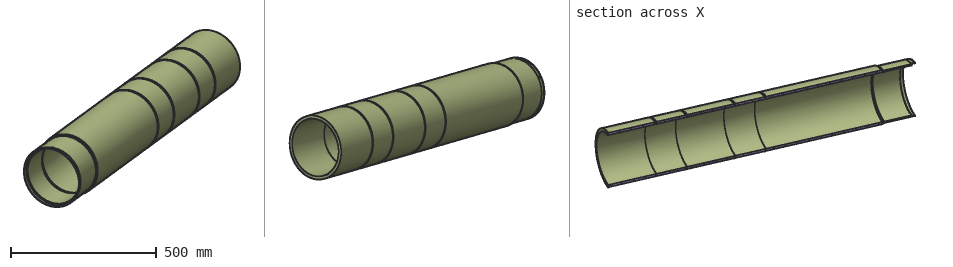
import cadquery as cq
total_length = 1146.0
outer_radius = 225.0 / 2
bore_radius = 101.0
rear_end = total_length / 2
front_end = -total_length / 2

long_tube = 180.0
short_tube = 115.0
main_tube = 435.0
tube_lengths = [long_tube, short_tube, long_tube, short_tube, main_tube]

chamfer_length = 5.0
chamfer_depth = 1.7

spigot_radius = 109.0
spigot_rear = rear_end - sum(tube_lengths)
spigot_chamfer = 6.0
counterbore_radius = 107.0
counterbore_depth = 14.0

hole_radius = 4.0
hole_setback = 7.0
hole_angles = [30, 90, 150, 270]


def revolve_about_y(profile):
    """Turn a closed (radius, y) outline around the pipe axis."""
    return cq.Workplane("XY").polyline(profile).close().revolve(360, (0, 0, 0), (0, 1, 0))


def make_tube(front, rear):
    """Plain tube with a chamfered front outer edge."""
    return revolve_about_y([
        (bore_radius, front),
        (outer_radius - chamfer_depth, front),
        (outer_radius, front + chamfer_length),
        (outer_radius, rear),
        (bore_radius, rear),
    ])


def make_lip_hole(angle):
    """Radial cutter that starts on the axis and leaves through one side."""
    cutter = cq.Workplane("XY").circle(hole_radius).extrude(outer_radius)
    cutter = cutter.translate((0, front_end + hole_setback, 0))
    return cutter.rotate((0, 0, 0), (0, 1, 0), 90 - angle)


def make_spigot():
    """Narrower front piece, counterbored in front and chamfered inside at the rear."""
    counterbore_floor = front_end + counterbore_depth
    body = revolve_about_y([
        (spigot_radius, front_end),
        (spigot_radius, spigot_rear),
        (bore_radius + spigot_chamfer, spigot_rear),
        (bore_radius, spigot_rear - spigot_chamfer),
        (bore_radius, counterbore_floor),
        (counterbore_radius, counterbore_floor),
        (counterbore_radius, front_end),
    ])
    for angle in hole_angles:
        body = body.cut(make_lip_hole(angle))
    return body


tubes = []
tube_rear = rear_end
for length in tube_lengths:
    tube_front = tube_rear - length
    tubes.append(make_tube(tube_front, tube_rear))
    tube_rear = tube_front

spigot = make_spigot()

result = cq.Compound.makeCompound([*[tube.val() for tube in tubes], spigot.val()])